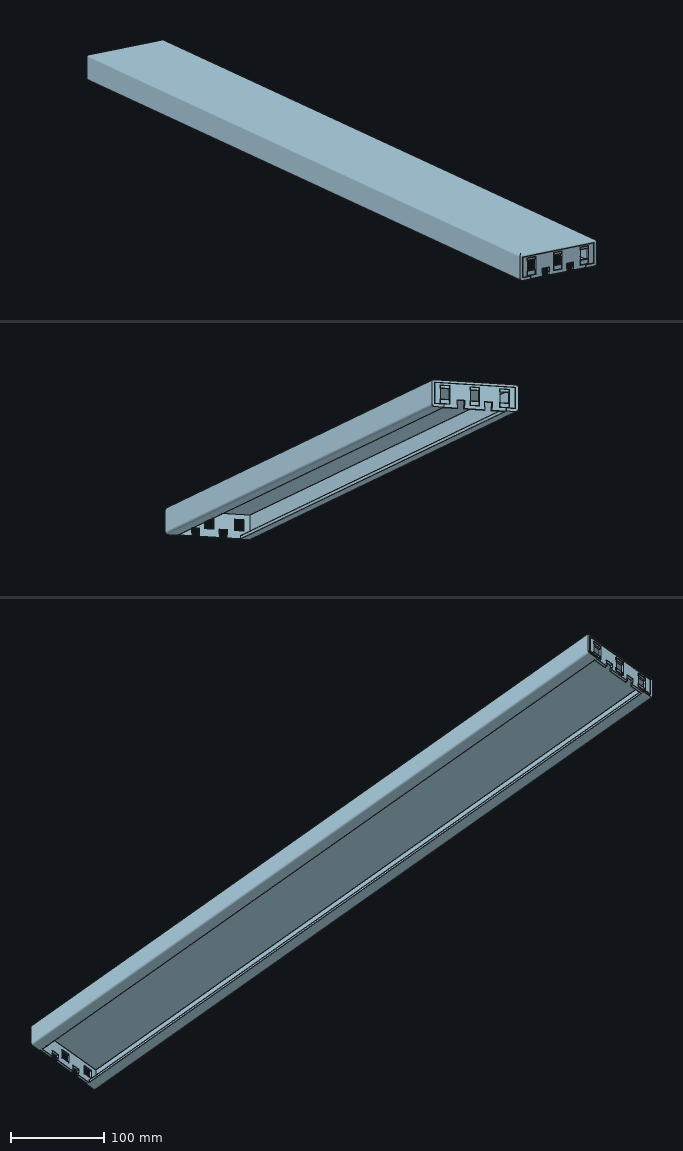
import cadquery as cq

LENGTH = 844.0
WIDTH = 99.0
HEIGHT = 30.0

WALL = 3.5
FLANGE_REACH = 14.0
SIDE_FILLET = 3.0
END_FILLET = 3.5

PLATE_THICKNESS = 3.0
PLATE_SETBACK = 1.0

WINDOW_PITCH = 34.0
WINDOW_WIDTH = 10.6
WINDOW_BOTTOM = 9.0
WINDOW_TOP = 21.0

RECESS_DEPTH = 1.0
RECESS_BOTTOM = 4.0
RECESS_TOP = 24.0

SLOT_OFFSET = 15.75
SLOT_MOUTH_WIDTH = 8.0
SLOT_INNER_WIDTH = 9.0
SLOT_LIP_HEIGHT = 4.0
SLOT_TOP = 9.0

INNER_WIDTH = WIDTH - 2 * WALL
MOUTH_WIDTH = WIDTH - 2 * FLANGE_REACH


def block(length, width, bottom, top, x=0.0, y=0.0):
    """Box centred on (x, y) that spans the heights bottom to top."""
    base = cq.Workplane("XY", origin=(x, y, bottom))
    return base.box(length, width, top - bottom, centered=(True, True, False))


def channel():
    """Full-length hollow channel, open at both ends and along the bottom."""
    body = block(LENGTH, WIDTH, 0, HEIGHT)
    body = body.edges("|X").fillet(SIDE_FILLET)

    end_rounding = block(LENGTH, 2 * WIDTH, 0, HEIGHT)
    end_rounding = end_rounding.edges(">Z and |Y").fillet(END_FILLET)
    body = body.intersect(end_rounding)

    body = body.cut(block(LENGTH, INNER_WIDTH, WALL, HEIGHT - WALL))
    return body.cut(block(LENGTH, MOUTH_WIDTH, 0, WALL))


def end_plate(side):
    """Plate closing one end; side is -1 for the -X end and +1 for the +X end."""
    outer_face = side * (LENGTH / 2 - PLATE_SETBACK)
    plate_x = outer_face - side * PLATE_THICKNESS / 2
    recess_x = outer_face - side * RECESS_DEPTH / 2

    def through_cut(width, bottom, top, y):
        return block(PLATE_THICKNESS, width, bottom, top, plate_x, y)

    plate = block(PLATE_THICKNESS, INNER_WIDTH, WALL, HEIGHT - WALL, plate_x)
    plate = plate.union(block(PLATE_THICKNESS, MOUTH_WIDTH, 0, WALL, plate_x))

    for y in (-WINDOW_PITCH, 0, WINDOW_PITCH):
        plate = plate.cut(through_cut(WINDOW_WIDTH, WINDOW_BOTTOM, WINDOW_TOP, y))
        plate = plate.cut(block(RECESS_DEPTH, WINDOW_WIDTH, RECESS_BOTTOM, RECESS_TOP, recess_x, y))

    for y in (-SLOT_OFFSET, SLOT_OFFSET):
        plate = plate.cut(through_cut(SLOT_MOUTH_WIDTH, 0, SLOT_TOP, y))
        plate = plate.cut(through_cut(SLOT_INNER_WIDTH, SLOT_LIP_HEIGHT, SLOT_TOP, y))
    return plate


result = channel()
for end in (-1, 1):
    result = result.union(end_plate(end))